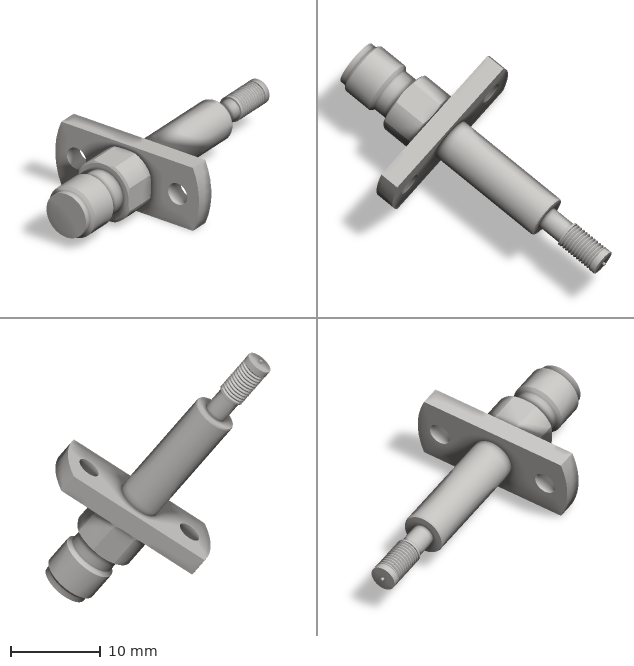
import cadquery as cq

PILOT_RADIUS = 2.75
PILOT_LENGTH = 0.7
SLEEVE_RADIUS = 3.18
SLEEVE_START = 1.1
SLEEVE_END = 4.55
SLEEVE_TAPER_END = 5.0

NUT_START = 6.97
NUT_END = 11.25
NUT_RADIUS = 3.8
NUT_ACROSS_FLATS = 7.0
NUT_CHAMFER_LENGTH = 0.2
NUT_CHAMFER_DEPTH = 0.3

SHOULDER_RADIUS = 3.05
FLANGE_START = 11.45
FLANGE_END = 13.8
FLANGE_LENGTH = 19.93
FLANGE_HEIGHT = 8.0
HOLE_DIAMETER = 2.65
HOLE_OFFSET = 7.0

BARREL_RADIUS = 2.52
BARREL_END = 27.95
BARREL_CHAMFER_LENGTH = 0.2
BARREL_CHAMFER_DEPTH = 0.07
NECK_RADIUS = 1.3

TIP_RADIUS = 1.55
TIP_START = 30.9
TIP_END = 36.17
PIN_RADIUS = 0.2
PIN_END = 36.5
THREAD_START = 31.15
THREAD_END = 35.45
THREAD_TURNS = 11
THREAD_DEPTH = 0.2
GROOVE_TO_PITCH = 0.8
ROOT_TO_PITCH = 0.1
THREAD_PITCH = (THREAD_END - THREAD_START) / THREAD_TURNS
RUN_IN_TURNS = 1.3
CUT_OVERSHOOT = 0.05


def turned(points):
    """Revolve (radius, station) points about Y, closing the outline on the axis."""
    outline = [(0, points[0][1])] + points + [(0, points[-1][1])]
    return cq.Workplane("XY").polyline(outline).close().revolve(360, (0, 0, 0), (0, 1, 0))


def slab(width, height, start, end):
    """Box centred on the Y axis between two stations."""
    return cq.Workplane("XY").box(width, end - start, height).translate((0, (start + end) / 2, 0))


def make_core():
    """Connector sleeve, shoulder, barrel, neck, tip and pin as one turned body."""
    return turned([
        (PILOT_RADIUS, 0),
        (PILOT_RADIUS, PILOT_LENGTH),
        (SLEEVE_RADIUS, SLEEVE_START),
        (SLEEVE_RADIUS, SLEEVE_END),
        (PILOT_RADIUS, SLEEVE_TAPER_END),
        (PILOT_RADIUS, NUT_START),
        (SHOULDER_RADIUS, NUT_START),
        (SHOULDER_RADIUS, FLANGE_START),
        (BARREL_RADIUS, FLANGE_START),
        (BARREL_RADIUS, BARREL_END - BARREL_CHAMFER_LENGTH),
        (BARREL_RADIUS - BARREL_CHAMFER_DEPTH, BARREL_END),
        (NECK_RADIUS, BARREL_END),
        (NECK_RADIUS, TIP_START),
        (TIP_RADIUS, TIP_START),
        (TIP_RADIUS, TIP_END),
        (PIN_RADIUS, TIP_END),
        (PIN_RADIUS, PIN_END),
    ])


def make_nut():
    """Disc with chamfered rims, trimmed by four flats."""
    rim_radius = NUT_RADIUS - NUT_CHAMFER_DEPTH
    disc = turned([
        (rim_radius, NUT_START),
        (NUT_RADIUS, NUT_START + NUT_CHAMFER_LENGTH),
        (NUT_RADIUS, NUT_END - NUT_CHAMFER_LENGTH),
        (rim_radius, NUT_END),
    ])
    return disc.intersect(slab(NUT_ACROSS_FLATS, NUT_ACROSS_FLATS, NUT_START, NUT_END))


def make_flange():
    """Disc trimmed flat above and below, with two mounting holes."""
    radius = FLANGE_LENGTH / 2
    disc = turned([(radius, FLANGE_START), (radius, FLANGE_END)])
    plate = disc.intersect(slab(FLANGE_LENGTH, FLANGE_HEIGHT, FLANGE_START, FLANGE_END))
    holes = (
        cq.Workplane("XZ", origin=(0, FLANGE_END, 0))
        .pushPoints([(-HOLE_OFFSET, 0), (HOLE_OFFSET, 0)])
        .circle(HOLE_DIAMETER / 2)
        .extrude(FLANGE_END - FLANGE_START)
    )
    return plate.cut(holes)


def make_thread_groove():
    """Left-handed helical groove, built along Z, laid onto Y and cut square at both ends."""
    run_in = RUN_IN_TURNS * THREAD_PITCH
    root_half_width = ROOT_TO_PITCH * THREAD_PITCH / 2
    crest_half_width = GROOVE_TO_PITCH * THREAD_PITCH / 2
    flank_slope = (crest_half_width - root_half_width) / THREAD_DEPTH
    outer_half_width = crest_half_width + flank_slope * CUT_OVERSHOOT
    root = TIP_RADIUS - THREAD_DEPTH
    outer = TIP_RADIUS + CUT_OVERSHOOT
    section = [
        (root, -root_half_width),
        (root, root_half_width),
        (outer, outer_half_width),
        (outer, -outer_half_width),
    ]
    height = THREAD_END - THREAD_START + 2 * run_in
    helix = cq.Wire.makeHelix(THREAD_PITCH, height, TIP_RADIUS, lefthand=True)
    groove = cq.Workplane("XZ").polyline(section).close().sweep(cq.Workplane(helix), isFrenet=True)
    groove = groove.rotate((0, 0, 0), (1, 0, 0), -90).translate((0, THREAD_START - run_in, 0))
    clip_size = 4 * TIP_RADIUS
    return groove.intersect(slab(clip_size, clip_size, THREAD_START, THREAD_END))


body = make_core().union(make_nut()).union(make_flange())
result = body.cut(make_thread_groove())